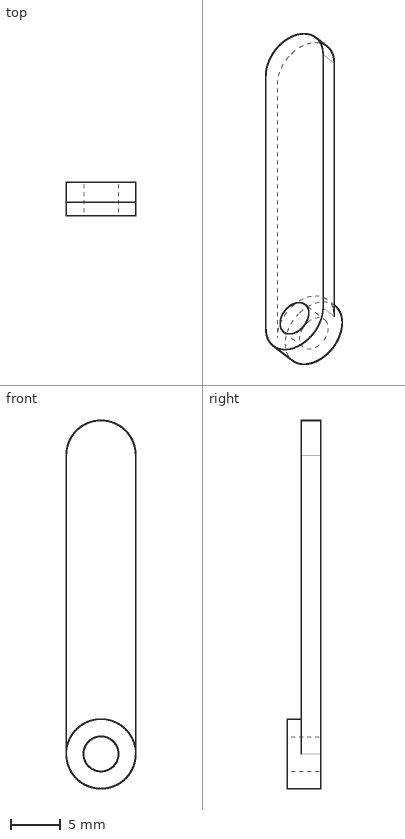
import cadquery as cq

bar_width = 7.0
total_length = 37.0
bar_thickness = 2.0
total_thickness = 3.4
hole_diameter = 3.5

end_radius = bar_width / 2
center_distance = total_length - bar_width
boss_height = total_thickness - bar_thickness


def make_bar():
    """Upright bar with rounded ends; its front face lies on Y = 0 and the lower round is at the origin."""
    return (
        cq.Workplane("XZ")
        .center(0, center_distance / 2)
        .slot2D(total_length, bar_width, 90)
        .extrude(-bar_thickness)
    )


def make_boss():
    """Round boss standing out from the front face, concentric with the lower end."""
    return cq.Workplane("XZ").circle(end_radius).extrude(boss_height)


def make_hole():
    """Cylinder that pierces both the boss and the bar."""
    return (
        cq.Workplane("XZ", origin=(0, bar_thickness, 0))
        .circle(hole_diameter / 2)
        .extrude(total_thickness)
    )


result = make_bar().union(make_boss()).cut(make_hole())